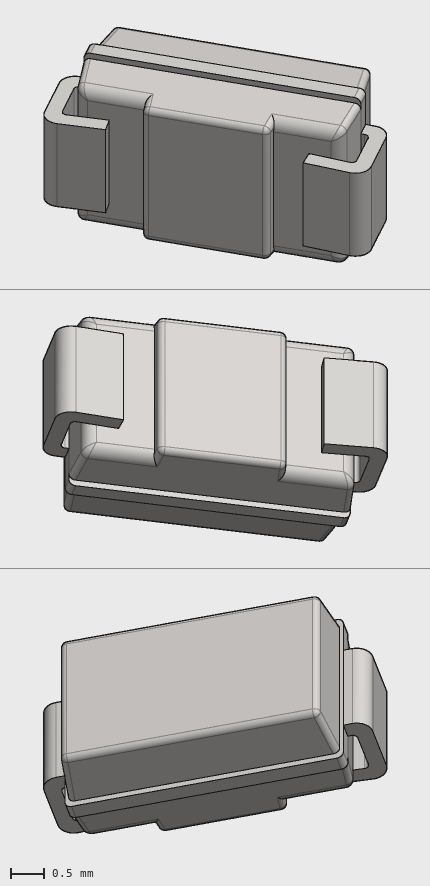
import cadquery as cq
import math

LENGTH = 5.08
DEPTH = 2.11
STRIP_THICKNESS = 0.255

BAND_LENGTH = 4.305
BAND_HEIGHT = 2.8
BAND_REAR_Y = STRIP_THICKNESS / 2
BAND_FRONT_Y = -STRIP_THICKNESS / 2

HALF_HEIGHT = 2.6
REAR_LENGTH = 4.19
REAR_DEPTH = 0.84
FRONT_DEPTH = 0.7
DRAFT = 7.0
EDGE_RADIUS = 0.1
FRONT_RADIUS = 0.2

PAD_LENGTH = 2.0
PAD_RISE = 0.2

LEAD_WIDTH = 1.515
FOOT_END_X = 1.535
FOOT_ANGLE = 4.0
BEND_OUTER_RADIUS = 0.25
BEND_INNER_RADIUS = 0.075


def drafted_block(start_y, length, height, depth, direction):
    """Block from the plane Y = start_y, narrowing away from it (direction +1 rear, -1 front)."""
    plane = cq.Plane(origin=(0, start_y, 0), xDir=(1, 0, 0), normal=(0, direction, 0))
    return cq.Workplane(plane).rect(length, height).extrude(depth, taper=DRAFT)


def make_band():
    band = cq.Workplane("XY").box(BAND_LENGTH, STRIP_THICKNESS, BAND_HEIGHT)
    return band.edges("|Y").fillet(EDGE_RADIUS)


def make_rear_half():
    rear = drafted_block(BAND_REAR_Y, REAR_LENGTH, HALF_HEIGHT, REAR_DEPTH, 1)
    return rear.edges("not <Y").fillet(EDGE_RADIUS)


def make_front_half():
    """The front face gets its larger rounding first, then the four corners are rounded into it."""
    front = drafted_block(BAND_FRONT_Y, BAND_LENGTH, HALF_HEIGHT, FRONT_DEPTH, -1)
    front = front.faces("<Y").edges().fillet(FRONT_RADIUS)
    corner_edges = front.edges("not(>Y or #Y)").edges("%LINE")
    return corner_edges.fillet(EDGE_RADIUS)


def make_pad():
    """Pad with its root on the band, so that its upper and lower sides continue those of the front half."""
    root_length = PAD_LENGTH + 2 * FRONT_DEPTH * math.tan(math.radians(DRAFT))
    pad = drafted_block(BAND_FRONT_Y, root_length, HALF_HEIGHT, FRONT_DEPTH + PAD_RISE, -1)
    return pad.edges("not >Y").fillet(EDGE_RADIUS)


def make_housing():
    return make_band().union(make_rear_half()).union(make_front_half()).union(make_pad())


def edge_near(strip, x, y):
    return strip.edges(cq.selectors.NearestToPointSelector((x, y, 0)))


def make_lead(side):
    """C-shaped strip from the end of the band to a foot before the housing (side -1 left, +1 right)."""
    lead_front_y = BAND_REAR_Y + REAR_DEPTH - DEPTH
    root_x = BAND_LENGTH / 2
    outer_x = LENGTH / 2
    inner_x = outer_x - STRIP_THICKNESS
    slope = math.radians(FOOT_ANGLE)
    sine, cosine, tangent = math.sin(slope), math.cos(slope), math.tan(slope)

    centre_x = outer_x - BEND_OUTER_RADIUS
    centre_y = lead_front_y + BEND_OUTER_RADIUS
    bend_end_x = centre_x - BEND_OUTER_RADIUS * sine
    bend_end_y = centre_y - BEND_OUTER_RADIUS * cosine

    tip_outer_y = bend_end_y + (bend_end_x - FOOT_END_X) * tangent
    tip_inner_x = FOOT_END_X + STRIP_THICKNESS * sine
    tip_inner_y = tip_outer_y + STRIP_THICKNESS * cosine
    inner_corner_y = tip_inner_y - (inner_x - tip_inner_x) * tangent

    profile = (
        cq.Workplane("XY", origin=(0, 0, -LEAD_WIDTH / 2))
        .moveTo(side * root_x, BAND_REAR_Y)
        .lineTo(side * outer_x, BAND_REAR_Y)
        .lineTo(side * outer_x, centre_y)
        .radiusArc((side * bend_end_x, bend_end_y), side * BEND_OUTER_RADIUS)
        .lineTo(side * FOOT_END_X, tip_outer_y)
        .lineTo(side * tip_inner_x, tip_inner_y)
        .lineTo(side * inner_x, inner_corner_y)
        .lineTo(side * inner_x, BAND_FRONT_Y)
        .lineTo(side * root_x, BAND_FRONT_Y)
        .close()
    )
    strip = profile.extrude(LEAD_WIDTH)
    strip = edge_near(strip, side * outer_x, BAND_REAR_Y).fillet(BEND_OUTER_RADIUS)
    strip = edge_near(strip, side * inner_x, BAND_FRONT_Y).fillet(BEND_INNER_RADIUS)
    return edge_near(strip, side * inner_x, inner_corner_y).fillet(BEND_INNER_RADIUS)


housing = make_housing()
leads = [make_lead(side) for side in (-1, 1)]
result = cq.Compound.makeCompound([housing.val(), *[lead.val() for lead in leads]])